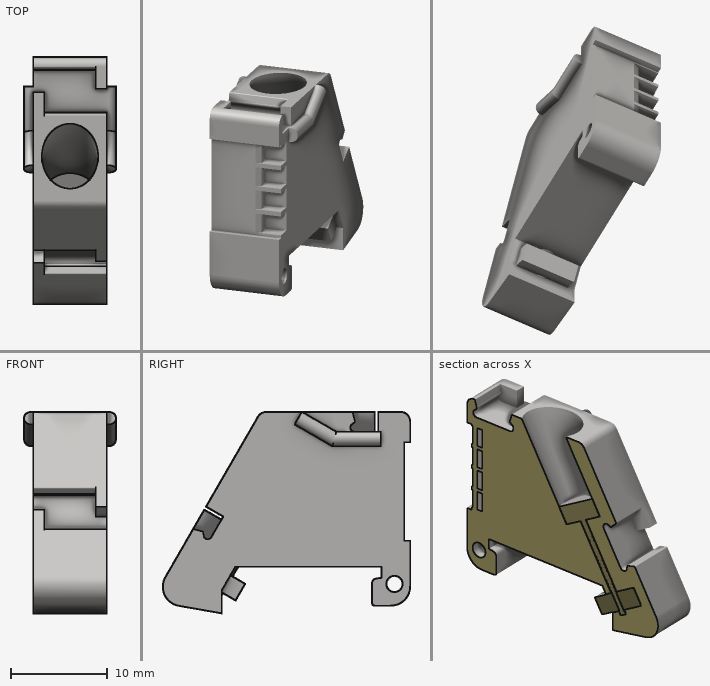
import cadquery as cq
import math


width = 7.6
height = 16.0
slope_angle = 60.0
slope = math.radians(slope_angle)
slope_run = 1 / math.tan(slope)
top_length = 15.42
top_back_radius = 1.0
top_front_radius = 1.0

toe_forward = 19.42
toe_drop = 4.8
toe_angle = math.radians(10.0)
toe_radius = 2.0
seat_end = 18.05

hook_wall = 2.97
hook_tip = 3.95
hook_lip_drop = 1.1
hook_tip_drop = 1.25
hook_drop = 4.0
hook_lip_radius = 0.5
hook_toe_radius = 0.3
heel_radius = 2.0
hook_hole_diameter = 1.65
hook_hole_forward = 1.63
hook_hole_drop = 1.75

relief_depth = 0.61
relief_bottom = 2.72
relief_top = 12.84

pocket_count = 4
pocket_height = 2.05
pocket_pitch = 2.53
pocket_bottom = 3.02
pocket_forward = 2.2
pocket_floor_forward = 2.0
pocket_floor_step = 1.4
pocket_ridge_back = 0.83
pocket_ridge_depth = 2.2
pocket_floor_depth = 2.5
pocket_back_depth = 2.8

slot_depth = 2.05
slot_length = 4.86
tab_width = 1.15
right_tab_length = 2.21
tab_gap = 0.35
left_tab_start = right_tab_length + tab_gap
lip_lean = math.radians(15.0)
lip_edge_tangent = 0.09
nose_start = 0.8
nose_reach = 0.26
nose_depth = 0.95
nose_end_depth = 1.12
nose_end_reach = 0.17
groove_radius = 0.43
groove_center_reach = 0.21
groove_start_angle = math.radians(225.0)
groove_end_angle = math.radians(90.0)
top_slot_forward = 1.1
slope_slot_drop = 7.87

rib_height = 1.5
rib_reach = 0.95
rib_start = 3.04
rib_bend = 7.83
rib_level = height - slot_depth - rib_height / 2
rib_angle = math.radians(30.0)

screw_forward = 10.24
bore_diameter = 5.8
head_depth = 8.52
head_height = 2.0
shank_diameter = 3.0
nut_side = 6.0
nut_thickness = 2.0
nut_depth = 18.74
shank_overrun = 0.5


def yz(forward, level):
    """Point of the side profile as (Y, Z)."""
    return (-forward, level)


def prism(outline, x_from, x_to):
    """Closed YZ outline drawn out along X."""
    return cq.Workplane("YZ", origin=(x_from, 0, 0)).polyline(outline).close().extrude(x_to - x_from)


def round_edge(body, forward, level, radius):
    """Round the X-parallel edge that passes through one profile point."""
    picker = cq.selectors.NearestToPointSelector((0, -forward, level))
    return body.edges("|X").edges(picker).fillet(radius)


def housing_block():
    rise = math.tan(toe_angle)
    corner_forward = (top_length + slope_run * (height + toe_drop + rise * toe_forward)) / (1 + slope_run * rise)
    corner_level = -toe_drop + rise * (corner_forward - toe_forward)
    seat_slant_end = -(toe_forward - seat_end) / slope_run
    outline = [
        yz(0, height),
        yz(top_length, height),
        yz(corner_forward, corner_level),
        yz(toe_forward, -toe_drop),
        yz(toe_forward, seat_slant_end),
        yz(seat_end, 0),
        yz(hook_wall, 0),
        yz(hook_wall, -hook_lip_drop),
        yz(hook_tip, -hook_tip_drop),
        yz(hook_tip, -hook_drop),
        yz(0, -hook_drop),
        yz(0, relief_bottom),
        yz(relief_depth, relief_bottom),
        yz(relief_depth, relief_top),
        yz(0, relief_top),
    ]
    block = prism(outline, -width / 2, width / 2)
    block = round_edge(block, 0, height, top_back_radius)
    block = round_edge(block, top_length, height, top_front_radius)
    block = round_edge(block, corner_forward, corner_level, toe_radius)
    block = round_edge(block, hook_tip, -hook_tip_drop, hook_lip_radius)
    block = round_edge(block, hook_tip, -hook_drop, hook_toe_radius)
    return round_edge(block, 0, -hook_drop, heel_radius)


def hook_hole():
    plane = cq.Workplane("YZ", origin=(-width / 2, -hook_hole_forward, -hook_hole_drop))
    return plane.circle(hook_hole_diameter / 2).extrude(width)


def marker_pocket(bottom):
    side = -width / 2
    return (
        cq.Workplane("XY", origin=(0, 0, bottom))
        .moveTo(side, 0)
        .lineTo(side, -pocket_forward)
        .lineTo(side + pocket_floor_depth, -pocket_floor_forward)
        .lineTo(side + pocket_floor_depth, -pocket_floor_step)
        .lineTo(side + pocket_ridge_depth, -pocket_floor_step)
        .lineTo(side + pocket_ridge_depth, -pocket_ridge_back)
        .lineTo(side + pocket_back_depth, -relief_depth)
        .lineTo(side + pocket_back_depth, 0)
        .close()
        .extrude(pocket_height)
    )


def half_slot():
    """Near half of the slot cutter: lip edge at the origin, running towards -Y and cutting towards -Z."""
    edge_radius = lip_edge_tangent / math.tan((math.pi / 2 - lip_lean) / 2)
    edge_center_distance = math.hypot(lip_edge_tangent, edge_radius)
    edge_arc_share = edge_radius / edge_center_distance
    edge_middle = yz(lip_edge_tangent * (edge_arc_share - 1), edge_radius * (edge_arc_share - 1))
    edge_end = yz(lip_edge_tangent * math.sin(lip_lean), -lip_edge_tangent * math.cos(lip_lean))

    def groove_point(angle):
        """Point of the groove circle; the angle turns from along the slot into its depth."""
        along = groove_center_reach + groove_radius * math.cos(angle)
        depth = slot_depth - groove_radius + groove_radius * math.sin(angle)
        return yz(along, -depth)

    groove_middle_angle = (groove_start_angle + groove_end_angle) / 2
    return (
        cq.Workplane("YZ", origin=(-width / 2, 0, 0))
        .moveTo(*yz(-lip_edge_tangent, 0))
        .threePointArc(edge_middle, edge_end)
        .lineTo(*yz(nose_start * math.tan(lip_lean), -nose_start))
        .threePointArc(yz(nose_reach, -nose_depth), yz(nose_end_reach, -nose_end_depth))
        .lineTo(*groove_point(groove_start_angle))
        .threePointArc(groove_point(groove_middle_angle), groove_point(groove_end_angle))
        .lineTo(*yz(slot_length / 2, -slot_depth))
        .lineTo(*yz(slot_length / 2, 0))
        .close()
        .extrude(width)
    )


def label_slot():
    """Slot cutter that leaves a tab standing on either side."""
    near_half = half_slot()
    profile = near_half.union(near_half.mirror("XZ", (0, -slot_length / 2, 0)))
    blank = cq.Workplane("XY").box(tab_width, slot_length, slot_depth, centered=False)
    left_tab = blank.translate((-width / 2, -left_tab_start - slot_length, -slot_depth))
    right_tab = blank.translate((width / 2 - tab_width, -right_tab_length, -slot_depth))
    return profile.cut(left_tab).cut(right_tab)


def grip_rib():
    """Half-round rib on the +X side, rising towards its front end."""
    half = rib_height / 2
    end_level = height - half * math.cos(rib_angle)
    end_forward = rib_bend + (end_level - rib_level) / math.tan(rib_angle)
    path = (
        cq.Workplane("YZ", origin=(width / 2, 0, 0))
        .moveTo(*yz(rib_start, rib_level))
        .lineTo(*yz(rib_bend, rib_level))
        .lineTo(*yz(end_forward, end_level))
    )
    section = cq.Workplane("XZ", origin=(width / 2, -rib_start, rib_level))
    return (
        section.moveTo(0, -half)
        .lineTo(rib_reach - half, -half)
        .threePointArc((rib_reach, 0), (rib_reach - half, half))
        .lineTo(0, half)
        .close()
        .sweep(path, transition="right")
    )


def axis_plane(depth):
    """Plane across the screw axis, a given distance down it from the top plane."""
    down_y = -math.cos(slope)
    down_z = -math.sin(slope)
    origin = (0, -screw_forward + depth * down_y, height + depth * down_z)
    return cq.Workplane(cq.Plane(origin=origin, xDir=(1, 0, 0), normal=(0, down_y, down_z)))


def screw_body():
    shank_length = nut_depth + nut_thickness + shank_overrun - head_depth
    head = axis_plane(head_depth).circle(bore_diameter / 2).extrude(head_height)
    shank = axis_plane(head_depth).circle(shank_diameter / 2).extrude(shank_length)
    return head.union(shank)


def nut_blank():
    return axis_plane(nut_depth).rect(nut_side, nut_side).extrude(nut_thickness)


screw = screw_body()
nut = nut_blank().cut(screw)

housing = housing_block().cut(hook_hole())
for index in range(pocket_count):
    housing = housing.cut(marker_pocket(pocket_bottom + index * pocket_pitch))

top_slot = label_slot().translate((0, -top_slot_forward, height))
slope_slot_forward = top_length + slope_slot_drop * slope_run
slope_slot = (
    label_slot()
    .rotate((0, 0, 0), (1, 0, 0), slope_angle)
    .translate((0, -slope_slot_forward, height - slope_slot_drop))
)
housing = housing.cut(top_slot).cut(slope_slot)

right_rib = grip_rib()
housing = housing.union(right_rib).union(right_rib.mirror("YZ"))

bore_lead = bore_diameter
bore = axis_plane(-bore_lead).circle(bore_diameter / 2).extrude(bore_lead + head_depth)
housing = housing.cut(bore).cut(screw).cut(nut_blank())

result = cq.Compound.makeCompound([body.solids().val() for body in (housing, screw, nut)])